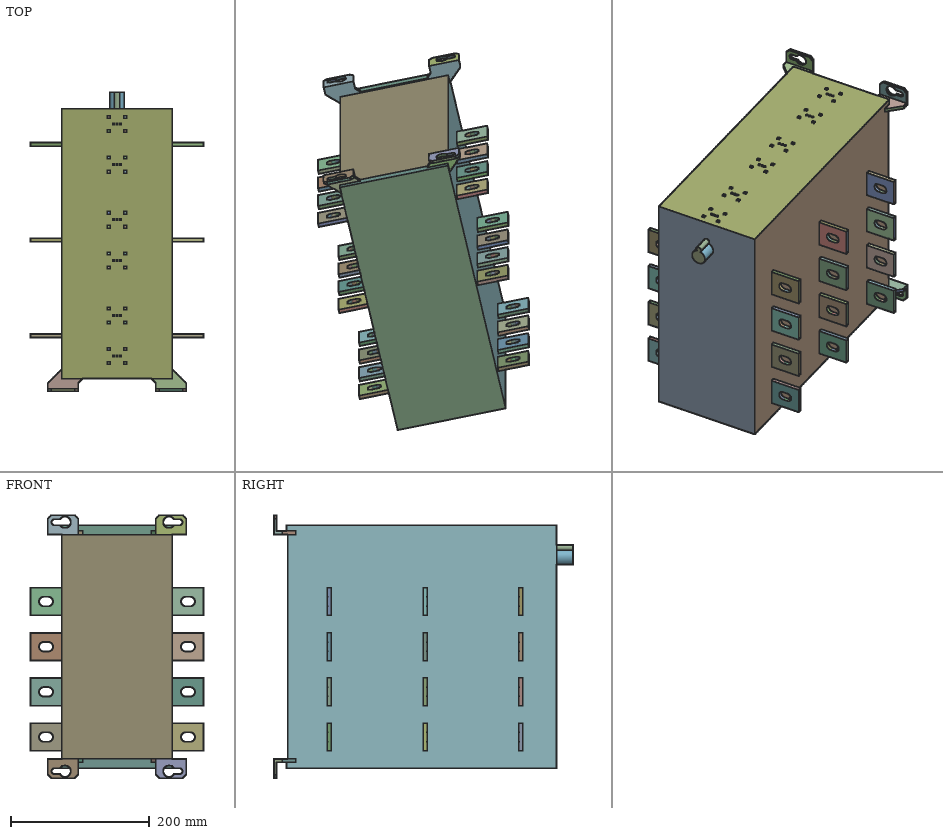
import cadquery as cq

HOUSING_X = 160.0
HOUSING_Y = 390.0
HOUSING_Z = 351.0
FRONT_Y = -HOUSING_Y / 2
BACK_Y = HOUSING_Y / 2
SIDE_X = HOUSING_X / 2

PANEL_Z = 324.0
PANEL_RECESS = 1.7

TERMINAL_SPAN_X = 250.0
TERMINAL_THICKNESS = 5.5
TERMINAL_HEIGHT = 40.0
TERMINAL_ROW_PITCH = 65.2
TERMINAL_ROWS = (1, 0, -1, -2)
TERMINAL_COLUMN_PITCH = 138.2
TERMINAL_COLUMNS = (-1, 0, 1)
MIDDLE_COLUMN_Y = 5.0
TERMINAL_SLOT_LENGTH = 20.0
TERMINAL_SLOT_WIDTH = 13.5

OVERALL_Z = 380.0
BRACKET_SPAN_X = 200.0
BRACKET_REACH = 18.0
FOOT_WIDTH = 44.0
FOOT_THICKNESS = 4.0
FOOT_CHAMFER = 5.0
ARM_THICKNESS = 5.0
ARM_STRAIGHT = 11.5
ARM_SLANT = 22.5
KEYHOLE_X = 75.0
KEYHOLE_EDGE_GAP = 10.5
KEYHOLE_DIAMETER = 16.5
KEYHOLE_SLOT_WIDTH = 8.0
KEYHOLE_SLOT_REACH = 15.0

PLUG_LENGTH = 23.8
PLUG_Z = 129.0
PLUG_RADIUS = 11.0
KEY_RADIUS = 4.5
KEY_OFFSET = 13.5

GROUP_OFFSET_Y = 29.5
CORNER_PITCH_X = 23.8
CORNER_PITCH_Y = 20.5
CORNER_HOLE_SIZE = 4.0
ROW_PITCH = 4.8
ROW_HOLE_SIZE = 2.0
ROW_HOLE_COUNT = 3
INDICATOR_DEPTH = 3.5

COLUMN_YS = [MIDDLE_COLUMN_Y + column * TERMINAL_COLUMN_PITCH for column in TERMINAL_COLUMNS]


def make_housing():
    housing = cq.Workplane("XY").box(HOUSING_X, HOUSING_Y, HOUSING_Z)
    recess = cq.Workplane("XY").box(HOUSING_X, 2 * PANEL_RECESS, PANEL_Z).translate((0, FRONT_Y, 0))
    return housing.cut(recess)


def make_terminals():
    bar = cq.Workplane("XY").box(TERMINAL_SPAN_X, TERMINAL_THICKNESS, TERMINAL_HEIGHT)
    slot_x = (SIDE_X + TERMINAL_SPAN_X / 2) / 2
    slots = (
        cq.Workplane("XZ")
        .pushPoints([(-slot_x, 0), (slot_x, 0)])
        .slot2D(TERMINAL_SLOT_LENGTH, TERMINAL_SLOT_WIDTH)
        .extrude(TERMINAL_THICKNESS, both=True)
    )
    bar = bar.cut(slots)
    terminals = cq.Workplane("XY")
    for y in COLUMN_YS:
        for row in TERMINAL_ROWS:
            terminals.add(bar.translate((0, y, row * TERMINAL_ROW_PITCH)))
    return terminals.combine()


def make_bracket():
    """Bracket for the corner at +X and +Z."""
    outer_x = BRACKET_SPAN_X / 2
    inner_x = outer_x - FOOT_WIDTH
    foot_y = FRONT_Y - BRACKET_REACH
    slant_y = foot_y + ARM_STRAIGHT
    foot_bottom = PANEL_Z / 2
    foot_height = OVERALL_Z / 2 - foot_bottom

    foot = (
        cq.Workplane("XY")
        .box(FOOT_WIDTH, FOOT_THICKNESS, foot_height, centered=False)
        .edges("|Y and >Z")
        .chamfer(FOOT_CHAMFER)
        .translate((inner_x, foot_y, foot_bottom))
    )
    arm = (
        cq.Workplane("XY", origin=(0, 0, foot_bottom))
        .polyline([
            (outer_x, foot_y),
            (outer_x, slant_y),
            (outer_x - ARM_SLANT, slant_y + ARM_SLANT),
            (inner_x - ARM_SLANT, slant_y + ARM_SLANT),
            (inner_x, slant_y),
            (inner_x, foot_y),
        ])
        .close()
        .extrude(ARM_THICKNESS)
    )
    keyhole_plane = cq.Workplane("XZ", origin=(KEYHOLE_X, foot_y, OVERALL_Z / 2 - KEYHOLE_EDGE_GAP))
    round_hole = keyhole_plane.circle(KEYHOLE_DIAMETER / 2).extrude(-FOOT_THICKNESS)
    slot = (
        keyhole_plane.center(KEYHOLE_SLOT_REACH / 2, 0)
        .slot2D(KEYHOLE_SLOT_REACH + KEYHOLE_SLOT_WIDTH, KEYHOLE_SLOT_WIDTH)
        .extrude(-FOOT_THICKNESS)
    )
    return foot.union(arm).cut(round_hole).cut(slot)


def make_plug():
    plane = cq.Workplane("XZ", origin=(0, BACK_Y, PLUG_Z))
    barrel = plane.circle(PLUG_RADIUS).extrude(-PLUG_LENGTH)
    key = plane.center(0, KEY_OFFSET).circle(KEY_RADIUS).extrude(-PLUG_LENGTH)
    return barrel.union(key)


def make_indicator_holes():
    group_ys = [y + side * GROUP_OFFSET_Y for y in COLUMN_YS for side in (-1, 1)]
    holes = cq.Workplane("XY")
    for y in group_ys:
        plane = cq.Workplane("XY", origin=(0, y, HOUSING_Z / 2))
        corners = plane.rect(CORNER_PITCH_X, CORNER_PITCH_Y, forConstruction=True).vertices()
        holes.add(corners.rect(CORNER_HOLE_SIZE, CORNER_HOLE_SIZE).extrude(-INDICATOR_DEPTH))
        row = plane.rarray(ROW_PITCH, 4.5, ROW_HOLE_COUNT, 1)
        holes.add(row.rect(ROW_HOLE_SIZE, ROW_HOLE_SIZE).extrude(-INDICATOR_DEPTH))
    return holes.combine()


right_top_bracket = make_bracket()
top_brackets = right_top_bracket.union(right_top_bracket.mirror("YZ"))
brackets = top_brackets.union(top_brackets.mirror("XY"))

result = (
    make_housing()
    .union(make_terminals())
    .union(brackets)
    .union(make_plug())
    .cut(make_indicator_holes())
)